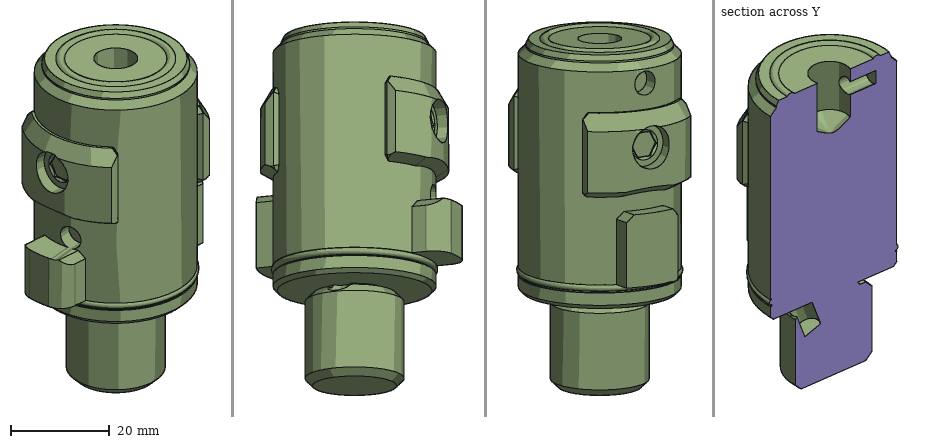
import cadquery as cq
import math

TOP_Z = 72.65

SHANK_RADIUS = 10.0
SHANK_END_CHAMFER = 1.5
SHANK_SHOULDER_Z = 17.4
SHOULDER_RISE = 1.7
NECK_RADIUS_LOW = 7.0
NECK_RADIUS_HIGH = 6.5

BODY_RADIUS = 16.5
COLLAR_BOTTOM_Z = 19.75
COLLAR_CHAMFER = 0.9
RIM_CHAMFER_Z = 69.1
RIM_CHAMFER = 1.5
RIM_BAND_HEIGHT = 0.35
FACE_RADIUS = 14.4
FACE_Z = 72.15

SIDE_RING_OUTER_DIAMETER = 33.65
SIDE_RING_OUTER_RADIUS = SIDE_RING_OUTER_DIAMETER / 2
SIDE_RING_SECTION = 0.69
SIDE_GROOVE_TOP_Z = 24.85
SIDE_GROOVE_HEIGHT = 1.7
FACE_RING_INNER_RADIUS = 10.2
FACE_RING_OUTER_RADIUS = 12.3
FACE_RING_RADIUS = (FACE_RING_OUTER_RADIUS + FACE_RING_INNER_RADIUS) / 2
FACE_RING_SECTION = (FACE_RING_OUTER_RADIUS - FACE_RING_INNER_RADIUS) / 2

BORE_RADIUS = 4.4
BORE_DEPTH = 11.6
DRILL_POINT_ANGLE = 118.0

PAD_RADIUS = 19.0
PAD_HALF_WIDTH = 12.6
PAD_BOTTOM_Z = 42.85
PAD_TOP_Z = 60.65
PAD_TOP_RADIUS = 17.1
PAD_TOP_SLOPE = 60.0
PAD_BOTTOM_SLOPE = 30.0
PAD_LOWER_EDGE_Z = 44.5
PAD_FLAT_BEVEL_Z = 45.05
PAD_CORNER_CHAMFER = 1.2
PAD_BACK_Y = 11.55
PAD_BACK_CHAMFER = 0.9

SCREW_Z = 53.25
SCREW_RADIUS = 4.4
SCREW_HEAD_Y = 16.3
SOCKET_ACROSS_FLATS = 5.1
SOCKET_DEPTH = 0.6
SOCKET_RIM_RADIUS = 3.1
SOCKET_RIM_SLOPE = 30.0

LUG_HALF_WIDTH = 6.25
LUG_CHAMFER = 1.5
LUG_BOTTOM_Z = SIDE_GROOVE_TOP_Z
FRONT_LUG_RADIUS = 22.5
FRONT_LUG_TOP_Z = 35.95
FRONT_LUG_FILLET = 4.1
REAR_LUG_RADIUS = 20.0
REAR_LUG_TOP_Z = 39.95

SIDE_HOLE_RADIUS = 2.5
FRONT_HOLE_Z = 38.35
FRONT_HOLE_ANGLE = 10.0
SIDE_HOLE_FLOOR_RADIUS = 13.3
REAR_HOLE_Z = 66.1
OUTLET_RADIUS = 1.95
OUTLET_Z = 67.4
OUTLET_END_X = 10.9
NECK_HOLE_X = -7.4
NECK_HOLE_Z = 18.5
NECK_HOLE_TILT = 20.0
NECK_HOLE_LENGTH = 5.8


def make_turned_body():
    """Shank, neck, collar and body with both sealing rings, revolved about Z, and the face ring."""
    shoulder_radius = SHANK_RADIUS - SHOULDER_RISE
    shoulder_top_z = SHANK_SHOULDER_Z + SHOULDER_RISE
    ring_center_radius = SIDE_RING_OUTER_RADIUS - SIDE_RING_SECTION
    ring_center_z = SIDE_GROOVE_TOP_Z - SIDE_RING_SECTION
    groove_bottom_z = SIDE_GROOVE_TOP_Z - SIDE_GROOVE_HEIGHT
    band_radius = BODY_RADIUS - RIM_CHAMFER
    band_bottom_z = RIM_CHAMFER_Z + RIM_CHAMFER
    profile = (
        cq.Workplane("XZ")
        .moveTo(0, 0)
        .lineTo(SHANK_RADIUS - SHANK_END_CHAMFER, 0)
        .lineTo(SHANK_RADIUS, SHANK_END_CHAMFER)
        .lineTo(SHANK_RADIUS, SHANK_SHOULDER_Z)
        .lineTo(shoulder_radius, shoulder_top_z)
        .lineTo(NECK_RADIUS_LOW, shoulder_top_z)
        .lineTo(NECK_RADIUS_HIGH, COLLAR_BOTTOM_Z)
        .lineTo(BODY_RADIUS - COLLAR_CHAMFER, COLLAR_BOTTOM_Z)
        .lineTo(BODY_RADIUS, COLLAR_BOTTOM_Z + COLLAR_CHAMFER)
        .lineTo(BODY_RADIUS, groove_bottom_z)
        .lineTo(ring_center_radius, groove_bottom_z)
        .lineTo(ring_center_radius, ring_center_z - SIDE_RING_SECTION)
        .threePointArc((SIDE_RING_OUTER_RADIUS, ring_center_z), (ring_center_radius, SIDE_GROOVE_TOP_Z))
        .lineTo(BODY_RADIUS, SIDE_GROOVE_TOP_Z)
        .lineTo(BODY_RADIUS, RIM_CHAMFER_Z)
        .lineTo(band_radius, band_bottom_z)
        .lineTo(band_radius, band_bottom_z + RIM_BAND_HEIGHT)
        .lineTo(FACE_RADIUS, FACE_Z)
        .lineTo(0, FACE_Z)
        .close()
    )
    face_ring = (
        cq.Workplane("XZ")
        .center(FACE_RING_RADIUS, TOP_Z - FACE_RING_SECTION)
        .circle(FACE_RING_SECTION)
        .revolve(360, (-FACE_RING_RADIUS, 0), (-FACE_RING_RADIUS, 1))
    )
    return profile.revolve(360, (0, 0), (0, 1)).union(face_ring)


def make_pad():
    """Clamping pad on the -Y side, with conical bevels above and below and a flat bevel below."""
    top_drop = (PAD_RADIUS - PAD_TOP_RADIUS) * math.tan(math.radians(PAD_TOP_SLOPE))
    bottom_slope = math.tan(math.radians(PAD_BOTTOM_SLOPE))
    bottom_radius = PAD_RADIUS - (PAD_LOWER_EDGE_Z - PAD_BOTTOM_Z) / bottom_slope
    ring = (
        cq.Workplane("XZ")
        .polyline([
            (0, PAD_BOTTOM_Z),
            (bottom_radius, PAD_BOTTOM_Z),
            (PAD_RADIUS, PAD_LOWER_EDGE_Z),
            (PAD_RADIUS, PAD_TOP_Z - top_drop),
            (PAD_TOP_RADIUS, PAD_TOP_Z),
            (0, PAD_TOP_Z),
        ])
        .close()
        .revolve(360, (0, 0), (0, 1))
    )
    block = (
        cq.Workplane("XZ", origin=(0, -PAD_BACK_Y, (PAD_BOTTOM_Z + PAD_TOP_Z) / 2))
        .rect(2 * PAD_HALF_WIDTH, PAD_TOP_Z - PAD_BOTTOM_Z)
        .extrude(PAD_RADIUS - PAD_BACK_Y)
        .edges("|Y")
        .chamfer(PAD_CORNER_CHAMFER)
        .faces(">Y")
        .chamfer(PAD_BACK_CHAMFER)
    )
    flat_bevel = (
        cq.Workplane("YZ")
        .polyline([
            (-PAD_RADIUS, PAD_FLAT_BEVEL_Z),
            (0, PAD_FLAT_BEVEL_Z - PAD_RADIUS * bottom_slope),
            (-PAD_RADIUS, PAD_FLAT_BEVEL_Z - PAD_RADIUS * bottom_slope),
        ])
        .close()
        .extrude(PAD_HALF_WIDTH, both=True)
    )
    return ring.intersect(block).cut(flat_bevel)


def make_screw_recess():
    """Round recess on the -Y side with a countersunk hexagon socket in its floor."""
    floor = cq.Workplane("XZ", origin=(0, -SCREW_HEAD_Y, SCREW_Z))
    recess = floor.circle(SCREW_RADIUS).extrude(PAD_RADIUS - SCREW_HEAD_Y)
    across_corners = SOCKET_ACROSS_FLATS / math.cos(math.radians(30))
    hexagon = floor.polygon(6, across_corners).extrude(-SOCKET_DEPTH)
    countersink_height = SOCKET_RIM_RADIUS * math.tan(math.radians(SOCKET_RIM_SLOPE))
    countersink = cq.Workplane(
        cq.Solid.makeCone(
            SOCKET_RIM_RADIUS, 0, countersink_height, pnt=(0, -SCREW_HEAD_Y, SCREW_Z), dir=(0, 1, 0)
        )
    )
    socket_rim = countersink.intersect(floor.circle(SOCKET_RIM_RADIUS).extrude(-SOCKET_DEPTH))
    return recess.union(hexagon).union(socket_rim)


def make_lug(outer_radius, top_z, fillet=0.0):
    """Driving lug on the -Y side with a cylindrical outer face."""
    height = top_z - LUG_BOTTOM_Z
    base = cq.Workplane("XY", origin=(0, 0, LUG_BOTTOM_Z))
    plan = (
        base.rect(2 * LUG_HALF_WIDTH, 2 * outer_radius)
        .extrude(height)
        .intersect(base.circle(outer_radius).extrude(height))
    )
    if fillet:
        plan = plan.edges("|Z").edges("<Y").fillet(fillet)
    outline = (
        cq.Workplane("XZ")
        .polyline([
            (-LUG_HALF_WIDTH, LUG_BOTTOM_Z),
            (LUG_HALF_WIDTH, LUG_BOTTOM_Z),
            (LUG_HALF_WIDTH, top_z - LUG_CHAMFER),
            (LUG_HALF_WIDTH - LUG_CHAMFER, top_z),
            (LUG_CHAMFER - LUG_HALF_WIDTH, top_z),
            (-LUG_HALF_WIDTH, top_z - LUG_CHAMFER),
        ])
        .close()
        .extrude(outer_radius)
    )
    return plan.intersect(outline)


def to_rear(shape):
    """Turn a -Y feature half a turn about Z, onto the +Y side."""
    return shape.rotate((0, 0, 0), (0, 0, 1), 180)


def make_bore():
    """Blind central bore with a drill point."""
    point_depth = BORE_RADIUS / math.tan(math.radians(DRILL_POINT_ANGLE / 2))
    bore_floor_z = FACE_Z - BORE_DEPTH
    return (
        cq.Workplane("XZ")
        .polyline([
            (0, bore_floor_z - point_depth),
            (BORE_RADIUS, bore_floor_z),
            (BORE_RADIUS, TOP_Z),
            (0, TOP_Z),
        ])
        .close()
        .revolve(360, (0, 0), (0, 1))
    )


def make_radial_hole(z, angle):
    """Flat-bottomed radial hole, at an angle about Z from the -Y direction."""
    hole = (
        cq.Workplane("XZ", origin=(0, -SIDE_HOLE_FLOOR_RADIUS, z))
        .circle(SIDE_HOLE_RADIUS)
        .extrude(FRONT_LUG_RADIUS - SIDE_HOLE_FLOOR_RADIUS)
    )
    return hole.rotate((0, 0, 0), (0, 0, 1), angle)


def make_outlet():
    """Blind cross hole from the bore toward +X."""
    return cq.Workplane("YZ", origin=(0, 0, OUTLET_Z)).circle(OUTLET_RADIUS).extrude(OUTLET_END_X)


def make_neck_hole():
    """Blind hole in the shank shoulder, leaning inward toward the shank axis as it goes down."""
    tilt = math.radians(NECK_HOLE_TILT)
    axis = cq.Plane(
        origin=(NECK_HOLE_X, 0, NECK_HOLE_Z), xDir=(0, 1, 0), normal=(-math.sin(tilt), 0, math.cos(tilt))
    )
    hole = cq.Workplane(axis).circle(SIDE_HOLE_RADIUS).extrude(NECK_HOLE_LENGTH, both=True)
    below_collar = cq.Workplane("XY").circle(BODY_RADIUS).extrude(COLLAR_BOTTOM_Z)
    return hole.intersect(below_collar)


pad = make_pad()
screw_recess = make_screw_recess()

result = (
    make_turned_body()
    .union(pad)
    .union(to_rear(pad))
    .union(make_lug(FRONT_LUG_RADIUS, FRONT_LUG_TOP_Z, FRONT_LUG_FILLET))
    .union(to_rear(make_lug(REAR_LUG_RADIUS, REAR_LUG_TOP_Z)))
    .cut(screw_recess)
    .cut(to_rear(screw_recess))
    .cut(make_bore())
    .cut(make_outlet())
    .cut(make_radial_hole(FRONT_HOLE_Z, FRONT_HOLE_ANGLE))
    .cut(make_radial_hole(REAR_HOLE_Z, 180))
    .cut(make_neck_hole())
)